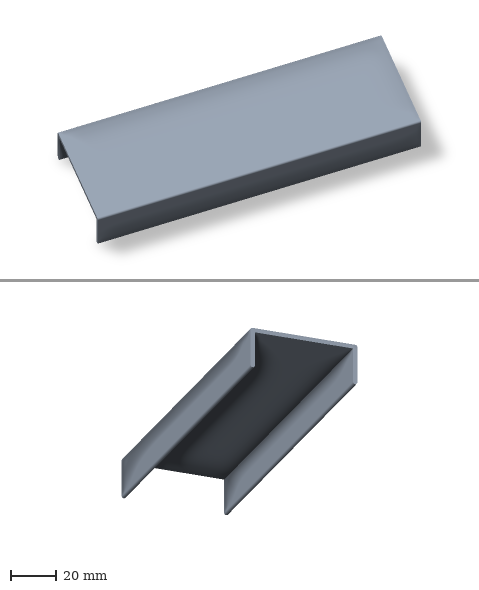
import cadquery as cq

length = 152.4
width = 50.7
height = 19.0

wall = 2.0
corner_radius = 0.8
lip_radius = 0.98

outer = cq.Workplane("XY").box(width, length, height)
outer = outer.edges("|Y and >Z").fillet(corner_radius)
cavity = (
    cq.Workplane("XY")
    .box(width - 2 * wall, length, height - wall)
    .translate((0, 0, -wall / 2))
)
channel = outer.cut(cavity)

result = channel.faces("<Z").edges("|Y").fillet(lip_radius)